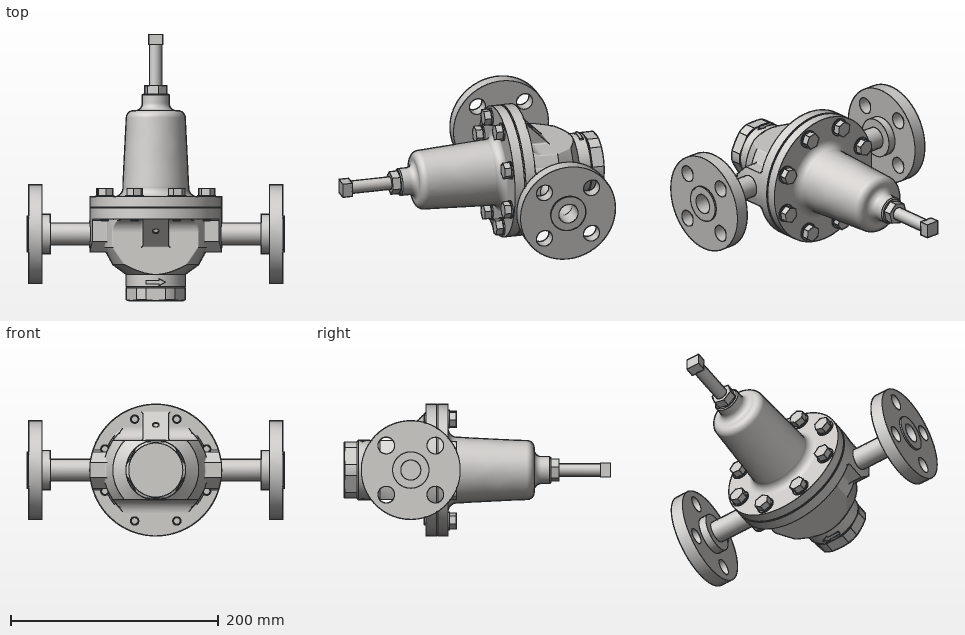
import cadquery as cq
import math


overall_length = 247.65
raised_face_height = 1.6
raised_face_dia = 35.0
pipe_flange_dia = 95.25
pipe_flange_thickness = 13.0
hub_dia = 38.1
hub_length = 7.9
pipe_dia = 21.3
pipe_bore = 19.3
bolt_circle_dia = 66.7
bolt_hole_dia = 16.0
bolt_hole_count = 4

joint_dia = 127.0
joint_radius = joint_dia / 2
body_flange_front = 14.6
body_flange_thickness = 10.3
gasket_thickness = 1.3
gasket_dia = 126.4
bonnet_flange_thickness = 9.8
body_flange_mid = body_flange_front + body_flange_thickness / 2
gasket_front = body_flange_front + body_flange_thickness
bonnet_flange_front = gasket_front + gasket_thickness
bonnet_flange_back = bonnet_flange_front + bonnet_flange_thickness

joint_bolt_count = 8
joint_bolt_circle_radius = 53.0
joint_bolt_dia = 8.0
joint_bolt_tip = 2.0
joint_bolt_tip_chamfer = 0.8
bolt_head_corner_dia = 15.8
bolt_head_height = 6.6
bolt_head_turn = 45.0
washer_dia = 17.2
washer_thickness = 1.3

bonnet_flare_radius = 38.8
bonnet_base_radius = 31.8
bonnet_base_y = 45.3
bonnet_top_radius = 28.5
bonnet_shoulder_y = 111.4
bonnet_shoulder_rise = 7.4
bonnet_shoulder_inset = 7.0
neck_radius = 13.1
neck_start_y = 125.4
neck_end_y = 134.8
neck_chamfer = 1.2
neck_flare_radius = neck_start_y - bonnet_shoulder_y - bonnet_shoulder_rise

lock_nut_corner_dia = 22.2
lock_nut_height = 8.0
lock_nut_turn = 15.0
spindle_dia = 12.3
spindle_head_width = 13.7
spindle_head_length = 9.7
spindle_end_y = 192.1

body_radius = 50.2
body_taper_start_y = -13.0
body_waist_radius = 41.3
body_waist_y = -29.5
body_half_width = 28.5
body_web_radius = 13.0
body_edge_radius = 1.2
body_root_radius = 1.5
body_neck_radius = 28.7
body_neck_top_y = -38.7

cap_start_y = -51.9
cap_end_y = spindle_end_y - 256.34
cap_flat_distance = 27.1
cap_flat_count = 6
cap_chamfer_radial = 2.7
cap_chamfer_axial = 1.1
body_neck_chamfer = 1.5

boss_flat_distance = 17.5
boss_half_side = boss_flat_distance * math.tan(math.pi / 8)
boss_root_radius = 1.2
boss_flare = 1.8
boss_flare_inner_x = 46.0
boss_inner_x = 40.0
bore_floor_x = 60.0

gauge_boss_width = 24.8
gauge_face_sum = 41.0
gauge_boss_root_radius = 1.7
gauge_hole_dia = 6.3
gauge_hole_depth = 1.5
gauge_hole_tip_angle = 118.0
gauge_hole_y = 2.6

edge_tolerance = 0.1

arrow_y = -46.3
arrow_half_length = 9.3
arrow_head_length = 6.2
arrow_head_half_width = 3.4
arrow_shaft_half_width = 1.7


def disc_y(radius, y_start, y_end):
    """Cylinder about the Y axis."""
    plane = cq.Workplane("XZ", origin=(0, y_start, 0))
    return plane.circle(radius).extrude(y_start - y_end)


def hexagon_y(corner_dia, y_start, y_end, turn):
    """Hexagonal prism about the Y axis, one corner turned from +X towards +Z."""
    plane = cq.Workplane("XZ", origin=(0, y_start, 0))
    prism = plane.polygon(6, corner_dia).extrude(y_start - y_end)
    return prism.rotate((0, 0, 0), (0, 1, 0), -turn)


def around_y(shape, angle):
    """Turn a shape about the Y axis from +X towards +Z."""
    return shape.rotate((0, 0, 0), (0, 1, 0), -angle)


def fillet_edges(part, is_wanted, radius):
    """Fillet the edges whose midpoint passes the given test."""
    wanted = [edge for edge in part.edges().vals() if is_wanted(edge.positionAt(0.5))]
    return part.newObject(wanted).fillet(radius)


def make_bonnet():
    """Conical spring housing with a rounded shoulder, a neck and a flare at the flange."""
    diagonal = math.sqrt(0.5)
    flare_height = bonnet_base_y - bonnet_flange_back
    flare_width = bonnet_flare_radius - bonnet_base_radius
    flare_mid = (
        bonnet_flare_radius - flare_width * diagonal,
        bonnet_base_y - flare_height * diagonal,
    )
    shoulder_top_y = bonnet_shoulder_y + bonnet_shoulder_rise
    shoulder_inner_radius = bonnet_top_radius - bonnet_shoulder_inset
    shoulder_mid = (
        shoulder_inner_radius + bonnet_shoulder_inset * diagonal,
        bonnet_shoulder_y + bonnet_shoulder_rise * diagonal,
    )
    neck_flare_mid = (
        neck_radius + neck_flare_radius * (1 - diagonal),
        neck_start_y - neck_flare_radius * diagonal,
    )
    return (
        cq.Workplane("XY")
        .moveTo(0, bonnet_flange_back)
        .lineTo(bonnet_flare_radius, bonnet_flange_back)
        .threePointArc(flare_mid, (bonnet_base_radius, bonnet_base_y))
        .lineTo(bonnet_top_radius, bonnet_shoulder_y)
        .threePointArc(shoulder_mid, (shoulder_inner_radius, shoulder_top_y))
        .lineTo(neck_radius + neck_flare_radius, shoulder_top_y)
        .threePointArc(neck_flare_mid, (neck_radius, neck_start_y))
        .lineTo(neck_radius, neck_end_y - neck_chamfer)
        .lineTo(neck_radius - neck_chamfer, neck_end_y)
        .lineTo(0, neck_end_y)
        .close()
        .revolve(360, (0, 0, 0), (0, 1, 0))
    )


def make_spindle():
    """Lock nut, round spindle and square head."""
    nut_end_y = neck_end_y + lock_nut_height
    head_start_y = spindle_end_y - spindle_head_length
    nut = hexagon_y(lock_nut_corner_dia, neck_end_y, nut_end_y, lock_nut_turn)
    rod = disc_y(spindle_dia / 2, nut_end_y, head_start_y)
    head = cq.Workplane("XY").box(spindle_head_width, spindle_head_length, spindle_head_width)
    head = head.translate((0, head_start_y + spindle_head_length / 2, 0))
    return nut.union(rod).union(head)


def make_joint():
    """The two joint flanges with the gasket between them."""
    body_flange = disc_y(joint_radius, body_flange_front, gasket_front)
    gasket = disc_y(gasket_dia / 2, gasket_front, bonnet_flange_front)
    bonnet_flange = disc_y(joint_radius, bonnet_flange_front, bonnet_flange_back)
    return body_flange.union(gasket).union(bonnet_flange)


def add_joint_bolts(part):
    """Bolts with washers on the bonnet flange and chamfered tips past the body flange."""
    head_start_y = bonnet_flange_back + washer_thickness
    head_end_y = head_start_y + bolt_head_height
    washer = disc_y(washer_dia / 2, bonnet_flange_back, head_start_y)
    head = hexagon_y(bolt_head_corner_dia, head_start_y, head_end_y, bolt_head_turn)
    tip = disc_y(joint_bolt_dia / 2, body_flange_front - joint_bolt_tip, body_flange_front)
    tip = tip.faces("<Y").chamfer(joint_bolt_tip_chamfer)
    bolt = washer.union(head)
    pitch = 360 / joint_bolt_count
    for index in range(joint_bolt_count):
        angle = (index + 0.5) * pitch
        for piece in (bolt, tip):
            part = part.union(around_y(piece.translate((joint_bolt_circle_radius, 0, 0)), angle))
    return part


def body_side_outline():
    """Bar along X with two flat sides that sweep out to the joint flange."""
    web_start_y = body_flange_front - body_web_radius
    web_end_z = body_half_width + body_web_radius
    web_mid_y = web_start_y + body_web_radius * math.sqrt(0.5)
    web_mid_z = web_end_z - body_web_radius * math.sqrt(0.5)
    return (
        cq.Workplane("YZ", origin=(-joint_radius, 0, 0))
        .moveTo(body_neck_top_y, -body_half_width)
        .lineTo(web_start_y, -body_half_width)
        .threePointArc((web_mid_y, -web_mid_z), (body_flange_front, -web_end_z))
        .lineTo(body_flange_mid, -web_end_z)
        .lineTo(body_flange_mid, web_end_z)
        .lineTo(body_flange_front, web_end_z)
        .threePointArc((web_mid_y, web_mid_z), (web_start_y, body_half_width))
        .lineTo(body_neck_top_y, body_half_width)
        .close()
        .extrude(joint_dia)
    )


def make_body():
    """Tapered round body with two flat sides, filleted between flats and round."""
    turned = (
        cq.Workplane("XY")
        .moveTo(0, body_flange_front)
        .lineTo(body_radius, body_flange_front)
        .lineTo(body_radius, body_taper_start_y)
        .lineTo(body_waist_radius, body_waist_y)
        .lineTo(body_neck_radius, body_neck_top_y)
        .lineTo(0, body_neck_top_y)
        .close()
        .revolve(360, (0, 0, 0), (0, 1, 0))
    )
    body = turned.intersect(body_side_outline())
    side_edge_min_z = body_half_width - edge_tolerance

    def is_side_edge(point):
        above_waist = body_waist_y < point.y < body_flange_front
        return above_waist and abs(point.z) > side_edge_min_z and abs(point.x) > body_waist_radius / 2

    return fillet_edges(body, is_side_edge, body_edge_radius)


def make_body_root():
    """Concave ring where the round of the body meets the joint flange."""
    root_offset = body_root_radius * (1 - math.sqrt(0.5))
    root_mid = (body_radius + root_offset, body_flange_front - root_offset)
    ring = (
        cq.Workplane("XY")
        .moveTo(boss_inner_x, body_flange_mid)
        .lineTo(body_radius + body_root_radius, body_flange_mid)
        .lineTo(body_radius + body_root_radius, body_flange_front)
        .threePointArc(root_mid, (body_radius, body_flange_front - body_root_radius))
        .lineTo(boss_inner_x, body_flange_front - body_root_radius)
        .close()
        .revolve(360, (0, 0, 0), (0, 1, 0))
    )
    return ring.intersect(body_side_outline())


def make_body_neck():
    """Round neck below the body, chamfered where it meets the cap."""
    neck = disc_y(body_neck_radius, cap_start_y, body_neck_top_y)
    return neck.faces("<Y").chamfer(body_neck_chamfer)


def make_cap():
    """Round cap with six wrench flats and a chamfered end."""
    cap = disc_y(body_neck_radius, cap_end_y, cap_start_y)
    cap = cap.faces("<Y").chamfer(cap_chamfer_axial, cap_chamfer_radial)
    corner_dia = 2 * cap_flat_distance / math.cos(math.pi / cap_flat_count)
    return cap.intersect(hexagon_y(corner_dia, cap_end_y, cap_start_y, 0))


def boss_bar(half_outline):
    """Bar along X with the mirrored (y, z) half outline, rounded off flush with the joint."""
    outline = half_outline + [(y, -z) for y, z in reversed(half_outline)]
    bar = cq.Workplane("YZ", origin=(-joint_radius, 0, 0)).polyline(outline).close().extrude(joint_dia)
    return bar.intersect(disc_y(joint_radius, -boss_flat_distance, body_flange_mid))


def add_port_bosses(body):
    """Half-octagon bosses on both ends of the flow axis, filleted to the body."""
    half_octagon = [
        (-boss_flat_distance, boss_half_side),
        (-boss_half_side, boss_flat_distance),
        (body_flange_front, boss_flat_distance),
    ]
    core = cq.Workplane("XY").box(2 * boss_inner_x, joint_dia, joint_dia)
    part = body.union(boss_bar(half_octagon).cut(core))

    def is_boss_root(point):
        on_boss_side = abs(point.z) < boss_flat_distance + edge_tolerance
        between_ends = -boss_flat_distance - edge_tolerance < point.y < body_flange_front - edge_tolerance
        near_body = boss_inner_x < math.hypot(point.x, point.z) < body_radius + boss_root_radius
        return on_boss_side and between_ends and near_body

    return fillet_edges(part, is_boss_root, boss_root_radius)


def make_boss_flares():
    """Bevels that widen the port bosses where they meet the joint flange."""
    half_bevel = [
        (body_flange_front - boss_flare, boss_flat_distance),
        (body_flange_front, boss_flat_distance + boss_flare),
        (body_flange_mid, boss_flat_distance + boss_flare),
    ]
    core = cq.Workplane("XY").box(2 * boss_flare_inner_x, joint_dia, joint_dia)
    return boss_bar(half_bevel).cut(core)


def add_gauge_boss(part):
    """Wedge-shaped boss with a 45 degree face, filleted to the body and the joint flange."""
    root_y = body_flange_mid
    root_z = body_half_width / 2
    wedge = (
        cq.Workplane("YZ", origin=(-gauge_boss_width / 2, 0, 0))
        .moveTo(root_z - gauge_face_sum, root_z)
        .lineTo(root_y, root_y + gauge_face_sum)
        .lineTo(root_y, root_z)
        .close()
        .extrude(gauge_boss_width)
    )
    foot_y = body_half_width - gauge_face_sum

    def is_wedge_root(point):
        on_side = abs(abs(point.x) - gauge_boss_width / 2) < edge_tolerance
        on_slope = abs(point.z - point.y - gauge_face_sum) < edge_tolerance
        at_slope_end = min(abs(point.y - foot_y), abs(point.y - body_flange_front)) < edge_tolerance
        above_side = point.z > body_half_width - edge_tolerance
        return above_side and (on_side != on_slope) and (on_side or at_slope_end)

    return fillet_edges(part.union(wedge), is_wedge_root, gauge_boss_root_radius)


def make_gauge_hole():
    """Shallow drilled hole with a conical bottom, square to the sloping face."""
    centre = cq.Vector(0, gauge_hole_y, gauge_hole_y + gauge_face_sum)
    inward = cq.Vector(0, 1, -1).normalized()
    radius = gauge_hole_dia / 2
    tip_depth = radius / math.tan(math.radians(gauge_hole_tip_angle / 2))
    bore = cq.Solid.makeCylinder(radius, gauge_hole_depth, centre, inward)
    tip = cq.Solid.makeCone(radius, 0, tip_depth, centre + inward * gauge_hole_depth, inward)
    return cq.Workplane(bore).union(cq.Workplane(tip))


def make_flow_arrow():
    """Flow arrow along +X, standing up level with the crest of the round neck."""
    head_x = arrow_half_length - arrow_head_length
    upper_half = [
        (-arrow_half_length, arrow_shaft_half_width),
        (head_x, arrow_shaft_half_width),
        (head_x, arrow_head_half_width),
    ]
    outline = upper_half + [(arrow_half_length, 0)] + [(x, -y) for x, y in reversed(upper_half)]
    arrow = cq.Workplane("XY", origin=(0, arrow_y, 0)).polyline(outline).close()
    return arrow.extrude(body_neck_radius)


def make_pipe_end():
    """Pipe stub with hub, drilled flange and raised face at the +X end, and its bore.

    The bolt holes straddle the vertical, so the stub is turned by half a hole pitch.
    """
    end_x = overall_length / 2
    flange_outer_x = end_x - raised_face_height
    flange_inner_x = flange_outer_x - pipe_flange_thickness

    def disc_x(diameter, x_start, x_end):
        return cq.Workplane("YZ", origin=(x_start, 0, 0)).circle(diameter / 2).extrude(x_end - x_start)

    bolt_holes = (
        cq.Workplane("YZ", origin=(flange_inner_x, 0, 0))
        .polarArray(bolt_circle_dia / 2, 0, 360, bolt_hole_count)
        .circle(bolt_hole_dia / 2)
        .extrude(pipe_flange_thickness)
    )
    flange = disc_x(pipe_flange_dia, flange_inner_x, flange_outer_x).cut(bolt_holes)
    hub = disc_x(hub_dia, flange_inner_x - hub_length, flange_inner_x)
    raised_face = disc_x(raised_face_dia, flange_outer_x, end_x)
    pipe = disc_x(pipe_dia, boss_inner_x, flange_inner_x)
    bore = disc_x(pipe_bore, bore_floor_x, end_x)
    stub = flange.union(hub).union(raised_face).union(pipe)
    half_pitch = 180 / bolt_hole_count
    return stub.rotate((0, 0, 0), (1, 0, 0), half_pitch), bore


pipe_end, pipe_end_bore = make_pipe_end()

result = add_port_bosses(make_body())
result = add_gauge_boss(result.union(make_joint()))
result = result.union(make_body_root()).union(make_boss_flares())
result = result.union(make_body_neck()).union(make_cap())
result = result.union(make_bonnet()).union(make_spindle())
result = add_joint_bolts(result).cut(make_gauge_hole())

flow_arrow = make_flow_arrow()
result = result.union(flow_arrow).union(flow_arrow.mirror("XY"))
result = result.union(pipe_end).union(pipe_end.mirror("YZ"))
result = result.cut(pipe_end_bore).cut(pipe_end_bore.mirror("YZ"))